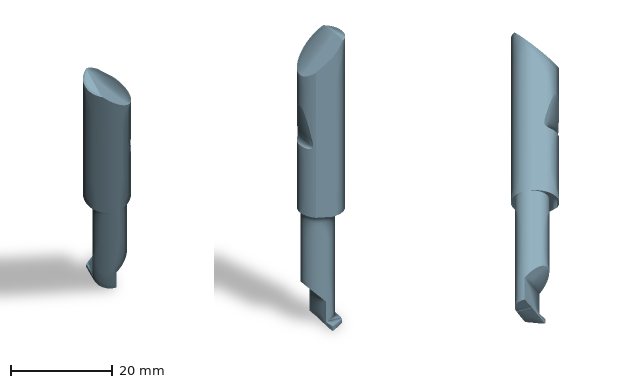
import cadquery as cq
import math

length = 63.5
shank_radius = 4.75
shank_bottom = 25.4

flat_end_angle = 139.0
bevel_edge_y = -2.85
rim_width = 0.4
rim_height = 0.2
notch_top = 49.15
notch_bottom = 40.3
notch_floor_y = 3.55
notch_radius = 0.75
notch_flat = 1.5

neck_diameter = 6.8
neck_radius = neck_diameter / 2
neck_x = shank_radius - neck_radius
neck_bottom = 0.4
runout_z = 5.4

tip_x = -4.5
tip_corner_z = 0.2
tip_top = 1.1
web_end_x = -2.05
web_end_top = 0.9
heel_top = 1.15
heel_x = -2.5
heel_bottom = 0.3
heel_chamfer = 0.25


def side_prism(points):
    """Extrude a (y, z) outline across the whole width of the shank."""
    return cq.Workplane("YZ").polyline(points).close().extrude(shank_radius, both=True)


def make_shank():
    angle = math.radians(flat_end_angle)
    middle = math.radians(flat_end_angle - 180) / 2
    shank = (
        cq.Workplane("XY").workplane(offset=shank_bottom)
        .moveTo(-shank_radius, 0)
        .lineTo(shank_radius * math.cos(angle), shank_radius * math.sin(angle))
        .threePointArc(
            (shank_radius * math.cos(middle), shank_radius * math.sin(middle)),
            (-shank_radius, 0),
        )
        .close()
        .extrude(length - shank_bottom)
    )
    rim = (
        cq.Workplane("XZ")
        .moveTo(0, shank_bottom)
        .lineTo(shank_radius, shank_bottom)
        .lineTo(shank_radius, length - rim_height)
        .lineTo(shank_radius - rim_width, length)
        .lineTo(0, length)
        .close()
        .revolve(360, (0, 0, 0), (0, 1, 0))
    )
    bevel_drop = shank_radius - bevel_edge_y
    bevel = side_prism([
        (bevel_edge_y, length),
        (shank_radius, length),
        (shank_radius, length - bevel_drop),
    ])
    return shank.intersect(rim).cut(bevel)


def make_notch():
    """Clamping notch on the +Y side: sloped entry, short floor, rounded lower corner."""
    corner_z = notch_bottom + notch_radius
    corner_y = notch_floor_y + notch_radius
    reach = notch_radius * math.sqrt(0.5)
    return (
        cq.Workplane("YZ")
        .moveTo(shank_radius, notch_top)
        .lineTo(notch_floor_y, notch_bottom + notch_flat)
        .lineTo(notch_floor_y, corner_z)
        .threePointArc((corner_y - reach, corner_z - reach), (corner_y, notch_bottom))
        .lineTo(shank_radius, notch_bottom)
        .close()
        .extrude(shank_radius, both=True)
    )


def make_neck():
    neck = (
        cq.Workplane("XY").workplane(offset=neck_bottom)
        .center(neck_x, 0)
        .circle(neck_radius)
        .extrude(shank_bottom - neck_bottom)
    )
    relief = side_prism([
        (0, neck_bottom),
        (0, runout_z),
        (neck_radius, runout_z + neck_radius),
        (neck_radius, neck_bottom),
    ])
    return neck.cut(relief)


def make_head():
    """Hooked plate: a plan outline with side clearance, trimmed by its front profile."""
    plan = (
        cq.Workplane("XY")
        .polyline([
            (-shank_radius, 0),
            (heel_x - heel_chamfer, heel_chamfer - neck_radius),
            (heel_x, -neck_radius),
            (neck_x, -neck_radius),
            (neck_x, 0),
        ])
        .close()
        .extrude(heel_top)
    )
    profile = (
        cq.Workplane("XZ")
        .polyline([
            (-shank_radius, tip_corner_z),
            (tip_x, 0),
            (neck_x, heel_bottom),
            (neck_x, heel_top),
            (web_end_x, heel_top),
            (web_end_x, web_end_top),
            (-shank_radius, tip_top),
        ])
        .close()
        .extrude(neck_radius)
    )
    return plan.intersect(profile)


result = make_shank().cut(make_notch()).union(make_neck()).union(make_head())